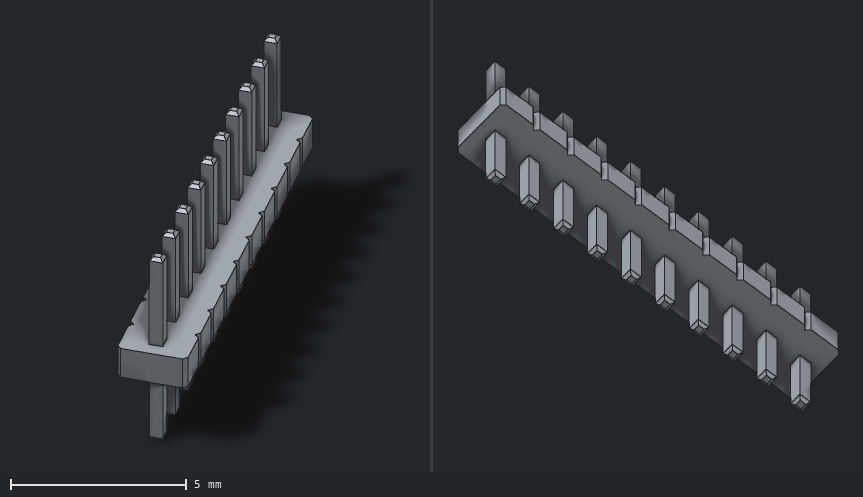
import cadquery as cq

pin_count = 10
pitch = 1.27
body_width = 2.1
body_height = 1.0
corner_cut = 0.13

pin_side = 0.41
pin_above = 3.0
pin_below = 2.3
tip_chamfer = 0.1

pin_length = pin_below + body_height + pin_above
pin_positions = [(i - (pin_count - 1) / 2) * pitch for i in range(pin_count)]


def body_segment(y):
    """One pitch of the body; neighbouring corner cuts form the V notches."""
    return (
        cq.Workplane("XY")
        .center(0, y)
        .rect(body_width, pitch)
        .extrude(body_height)
        .edges("|Z")
        .chamfer(corner_cut)
    )


def pin(y):
    """Square pin through the body with both tips chamfered."""
    return (
        cq.Workplane("XY", origin=(0, y, -pin_below))
        .rect(pin_side, pin_side)
        .extrude(pin_length)
        .faces("<Z or >Z")
        .chamfer(tip_chamfer)
    )


result = cq.Workplane("XY")
for y in pin_positions:
    result = result.union(body_segment(y)).union(pin(y))
result = result.clean()